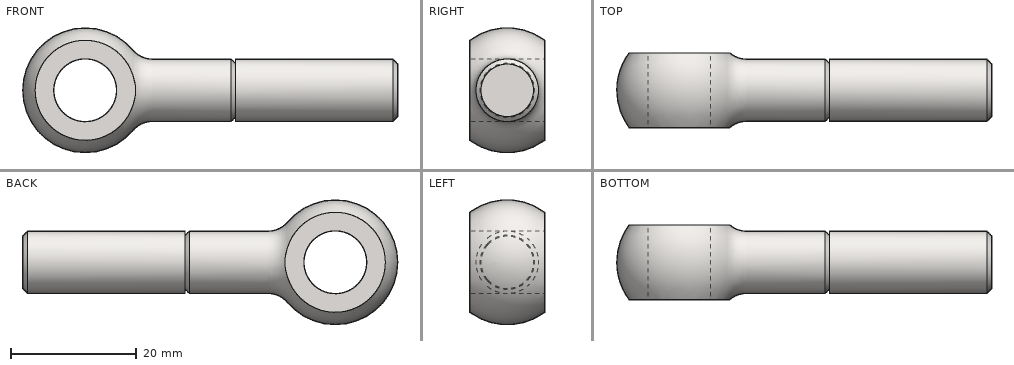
import cadquery as cq
import math

eye_diameter = 20.0
eye_width = 12.0
pin_hole_diameter = 10.0
shank_diameter = 10.0
shank_end = 50.0
thread_length = 26.0
thread_depth = 0.65
end_chamfer = 0.8
neck_fillet_radius = 4.0

eye_radius = eye_diameter / 2
shank_radius = shank_diameter / 2
root_radius = shank_radius - thread_depth
thread_start = shank_end - thread_length

fillet_center_radius = shank_radius + neck_fillet_radius
center_distance = eye_radius + neck_fillet_radius
fillet_center_x = math.sqrt(center_distance**2 - fillet_center_radius**2)


def point_on_fillet(angle):
    """Point on the neck fillet, with the angle measured from the +X direction."""
    return (
        fillet_center_x + neck_fillet_radius * math.cos(angle),
        fillet_center_radius + neck_fillet_radius * math.sin(angle),
    )


def make_turned_body():
    """Ball, neck, shank, thread relief and end chamfer as one revolved profile."""
    sphere_tangent_angle = math.atan2(-fillet_center_radius, -fillet_center_x)
    shank_tangent_angle = -math.pi / 2
    fillet_middle_angle = (sphere_tangent_angle + shank_tangent_angle) / 2
    profile = (
        cq.Workplane("XY")
        .moveTo(-eye_radius, 0)
        .threePointArc((0, eye_radius), point_on_fillet(sphere_tangent_angle))
        .threePointArc(point_on_fillet(fillet_middle_angle), (fillet_center_x, shank_radius))
        .lineTo(thread_start - thread_depth, shank_radius)
        .lineTo(thread_start, root_radius)
        .lineTo(thread_start, shank_radius)
        .lineTo(shank_end - end_chamfer, shank_radius)
        .lineTo(shank_end, shank_radius - end_chamfer)
        .lineTo(shank_end, 0)
        .close()
    )
    return profile.revolve(360, (0, 0, 0), (1, 0, 0))


def make_side_cutter(side):
    """Block that flattens the ball on the +Y (side = 1) or -Y (side = -1) side."""
    cutter_size = 2 * eye_diameter
    center_y = side * (eye_width + cutter_size) / 2
    return cq.Workplane("XY").box(cutter_size, cutter_size, cutter_size).translate((0, center_y, 0))


def make_pin_hole():
    """Cylinder along Y that passes right through the full width of the eye."""
    return cq.Workplane("XZ").circle(pin_hole_diameter / 2).extrude(eye_width, both=True)


result = make_turned_body()
for side in (-1, 1):
    result = result.cut(make_side_cutter(side))
result = result.cut(make_pin_hole())